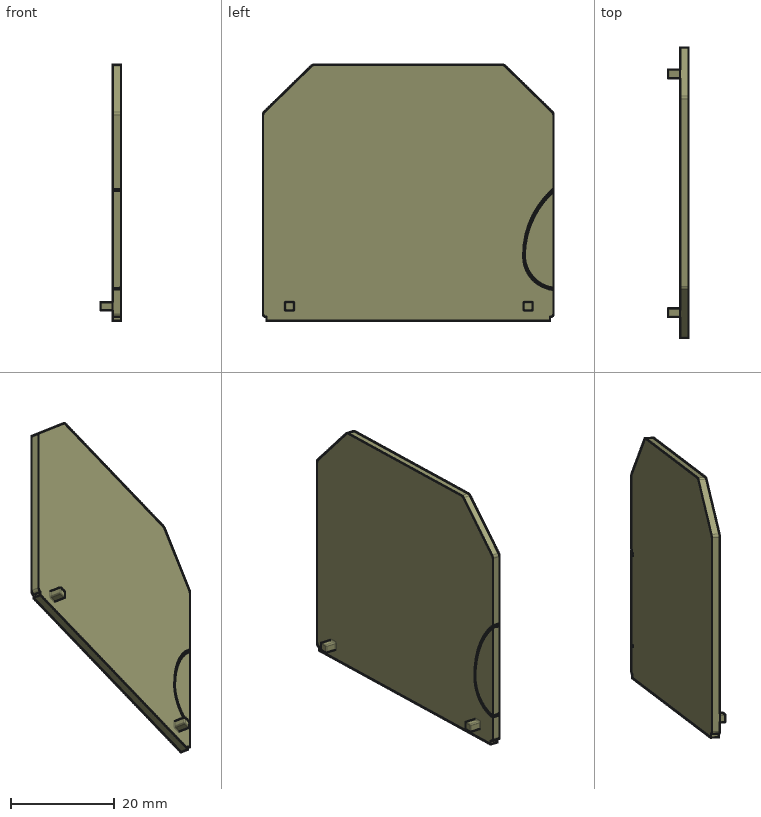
import cadquery as cq
import math

plate_thickness = 1.6
plate_width = 56.0
plate_height = 49.35
top_corner_width = 9.6
top_corner_height = 9.35
top_corner_blend = 0.85
bottom_step_width = 0.7
bottom_step_height = 0.7
bottom_corner_radius = 0.6

peg_length = 2.35
peg_width = 1.75
peg_height = 1.6
peg_edge_radius = 0.2
peg_tip_radius = 0.15
peg_base_radius = 0.15
peg_spacing = 46.0
pegs_middle_y = -0.1
peg_center_z = 2.8

groove_width = 0.35
groove_floor_thickness = 0.2
groove_reach = 5.9
groove_widest_z = 12.55
groove_upper_radius = 17.0
groove_lower_radius = 6.6
groove_open_reach = 0.85

half_width = plate_width / 2


def make_plate():
    shoulder_y = half_width - bottom_step_width
    right_half = [
        (half_width - top_corner_width, plate_height),
        (half_width, plate_height - top_corner_height),
        (half_width, bottom_step_height),
        (shoulder_y, bottom_step_height),
        (shoulder_y, 0),
    ]
    left_half = [(-y, z) for y, z in reversed(right_half)]
    plate = cq.Workplane("YZ").polyline(right_half + left_half).close().extrude(plate_thickness)
    rounded_corners = [
        (half_width, bottom_step_height, bottom_corner_radius),
        (half_width, plate_height - top_corner_height, top_corner_blend),
        (half_width - top_corner_width, plate_height, top_corner_blend),
    ]
    for y, z, radius in rounded_corners:
        for side in (-1, 1):
            corner = cq.NearestToPointSelector((plate_thickness / 2, side * y, z))
            plate = plate.edges("|X").edges(corner).fillet(radius)
    return plate


def make_peg(center_y):
    peg = cq.Workplane("YZ").center(center_y, peg_center_z).rect(peg_width, peg_height).extrude(-peg_length)
    return peg.edges("|X").fillet(peg_edge_radius).faces("<X").edges().fillet(peg_tip_radius)


def blend_peg_base(body, center_y):
    base_edges = cq.selectors.BoxSelector(
        (-peg_base_radius, center_y - peg_width, peg_center_z - peg_height),
        (peg_base_radius, center_y + peg_width, peg_center_z + peg_height),
    )
    return body.edges(base_edges).fillet(peg_base_radius)


def groove_region(inset):
    """Region inside one groove wall, moved inward from the outer wall by the inset."""
    widest_y = -half_width + groove_reach - inset
    upper = groove_upper_radius - inset
    lower = groove_lower_radius - inset
    upper_center_y = widest_y - upper
    lower_center_y = widest_y - lower
    upper_angle = math.acos((-half_width - upper_center_y) / upper)
    lower_angle = math.acos((-half_width - lower_center_y) / lower)

    def on_arc(center_y, radius, angle):
        return (center_y + radius * math.cos(angle), groove_widest_z + radius * math.sin(angle))

    return (
        cq.Workplane("YZ")
        .moveTo(*on_arc(upper_center_y, upper, upper_angle))
        .threePointArc(on_arc(upper_center_y, upper, upper_angle / 2), (widest_y, groove_widest_z))
        .threePointArc(
            on_arc(lower_center_y, lower, -lower_angle / 2), on_arc(lower_center_y, lower, -lower_angle)
        )
        .close()
        .extrude(plate_thickness)
    )


def make_groove():
    band = groove_region(0).cut(groove_region(groove_width))
    upper_part = band.translate((-groove_floor_thickness, 0, 0))
    open_zone = cq.Workplane("XY").box(
        plate_thickness, groove_open_reach, plate_height, centered=False
    ).translate((0, -half_width, 0))
    return upper_part.union(band.intersect(open_zone))


result = make_plate().cut(make_groove())
for side in (-1, 1):
    center_y = pegs_middle_y + side * peg_spacing / 2
    result = blend_peg_base(result.union(make_peg(center_y)), center_y)